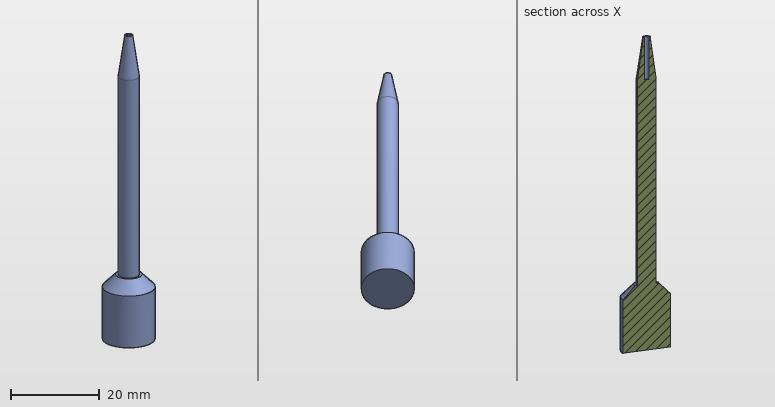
import cadquery as cq

total_height = 73.5
base_diameter = 12.0

base_straight_height = 12.6
shoulder_top_diameter = 6.0
shoulder_height = (base_diameter - shoulder_top_diameter) / 2

needle_diameter = 4.85
tip_length = 10.0
tip_diameter = 1.85
bore_diameter = 1.0
bore_depth = tip_length

base_radius = base_diameter / 2
shoulder_top_radius = shoulder_top_diameter / 2
needle_radius = needle_diameter / 2
tip_radius = tip_diameter / 2
shoulder_top_z = base_straight_height + shoulder_height
taper_start_z = total_height - tip_length


def turned_body():
    """Solid of revolution about Z; profile points are (radius, height)."""
    profile = [
        (0, 0),
        (base_radius, 0),
        (base_radius, base_straight_height),
        (shoulder_top_radius, shoulder_top_z),
        (needle_radius, shoulder_top_z),
        (needle_radius, taper_start_z),
        (tip_radius, total_height),
        (0, total_height),
    ]
    return cq.Workplane("XZ").polyline(profile).close().revolve(360, (0, 0), (0, 1))


def bore():
    """Blind axial bore, as deep as the tapered tip is long."""
    mouth = cq.Workplane("XY").workplane(offset=total_height)
    return mouth.circle(bore_diameter / 2).extrude(-bore_depth)


result = turned_body().cut(bore())